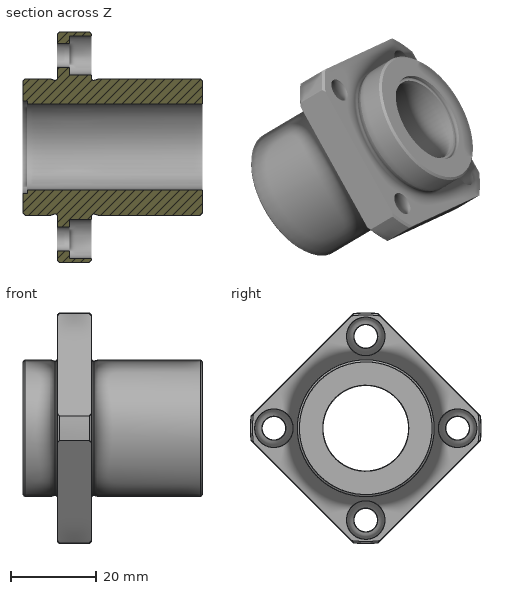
import cadquery as cq
import math

length = 42.0
body_radius = 32.0 / 2
end_chamfer = 0.5
bore_diameter = 20.0
recess_diameter = 21.6
recess_depth = 1.0

flange_start = 8.05
flange_thickness = 8.0
flange_end = flange_start + flange_thickness
across_flats = 42.0
corner_radius = 27
corner_chamfer = 0.5

undercut_width = 1.6
undercut_depth = 0.3
undercut_fillet = 0.55

hole_count = 4
hole_circle_radius = 21.5
hole_diameter = 5.5
counterbore_diameter = 9.0
counterbore_depth = 5.1


def cylinder(start, end, diameter):
    """Solid cylinder on the X axis."""
    return cq.Workplane("YZ", origin=(start, 0, 0)).circle(diameter / 2).extrude(end - start)


def make_flange():
    square = (
        cq.Workplane("YZ", origin=(flange_start, 0, 0))
        .transformed(rotate=(0, 0, 45))
        .rect(across_flats, across_flats)
        .extrude(flange_thickness)
    )
    turned = cylinder(flange_start, flange_end, 2 * corner_radius).edges().chamfer(corner_chamfer)
    return square.intersect(turned)


def cut_undercut(part, face_x, outward):
    """Cut a sloped groove that ends in a round against the flange face; outward is its X direction."""
    floor_radius = body_radius - undercut_depth
    fillet_top = floor_radius + undercut_fillet
    slope_start = face_x + outward * undercut_width
    slope_end = face_x + outward * undercut_fillet
    mid_offset = undercut_fillet * (1 - math.sqrt(0.5))
    fillet_mid = (face_x + outward * mid_offset, floor_radius + mid_offset)
    groove = (
        cq.Workplane("XY")
        .moveTo(slope_start, body_radius)
        .lineTo(slope_end, floor_radius)
        .threePointArc(fillet_mid, (face_x, fillet_top))
        .lineTo(slope_start, fillet_top)
        .close()
        .revolve(360, (0, 0, 0), (1, 0, 0))
    )
    ring = cylinder(face_x, slope_end, 2 * fillet_top)
    return part.union(ring).cut(groove)


def cut_screw_holes(part):
    for i in range(hole_count):
        angle = 2 * math.pi * i / hole_count
        y = hole_circle_radius * math.cos(angle)
        z = hole_circle_radius * math.sin(angle)
        hole = cylinder(flange_start, flange_end, hole_diameter)
        counterbore = cylinder(flange_end - counterbore_depth, flange_end, counterbore_diameter)
        part = part.cut(hole.union(counterbore).translate((0, y, z)))
    return part


sleeve = cylinder(0, length, 2 * body_radius).edges().chamfer(end_chamfer)
result = sleeve.union(make_flange())
result = cut_undercut(result, flange_start, -1)
result = cut_undercut(result, flange_end, 1)
result = cut_screw_holes(result)
result = result.cut(cylinder(0, length, bore_diameter))
result = result.cut(cylinder(0, recess_depth, recess_diameter))